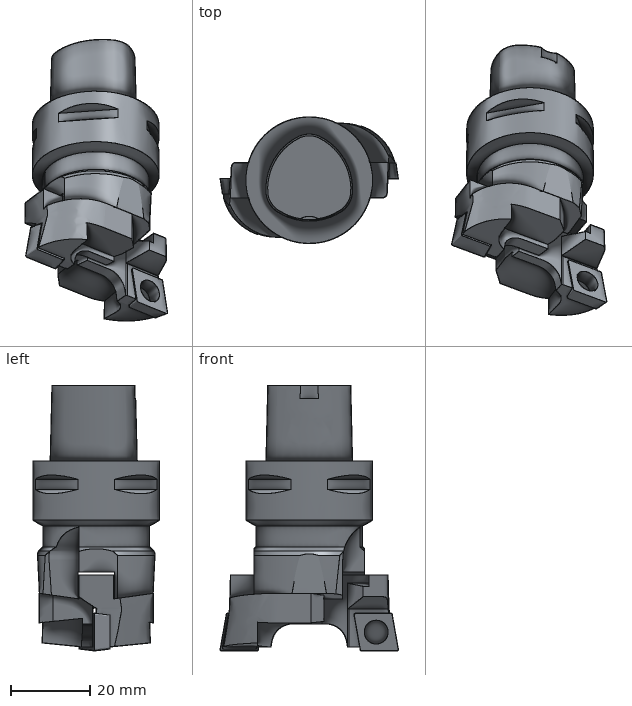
import cadquery as cq
import math


SHANK_LENGTH = 19.0
SHANK_BASE_RADIUS = 11.0
SHANK_TOP_RADIUS = 10.55
LOBE_HEIGHT = 0.65
LOBE_HALF_ANGLE = 22.0
LOBE_DIRECTIONS = (90.0, 210.0, 330.0)
KEYWAY_RADIUS = 4.2
KEYWAY_FLOOR_Y = -9.1
KEYWAY_DEPTH = 3.25

FLANGE_RADIUS = 16.0
FLANGE_HEIGHT = 15.0
FLANGE_BEVEL_ANGLE = 30.0
GRIP_FLOOR_DISTANCE = 14.09
GRIP_TOP_Z = -4.7
GRIP_BOTTOM_Z = -7.2
GRIP_SIDE_ANGLE = 30.0
GRIP_DIRECTIONS = (45.0, 135.0, 225.0, 315.0)

NECK_RADIUS = 13.5
NECK_END_Z = -21.7
SHOULDER_RADIUS = 14.6
BODY_RADIUS = 15.0
BODY_TOP_Z = -23.9
SIDE_FLAT_X = 14.0
BACK_FLAT_TOP = 14.83
BACK_FLAT_BOTTOM = 14.36
RELIEF_FLAT_ANGLE = 50.0
RELIEF_FLAT_TOP = 14.18
RELIEF_FLAT_BOTTOM = 13.76

CHIP_WALL_X = 8.45
CHIP_WALL_Y = 4.33
CHIP_ARC_RADIUS = 10.1
CHIP_ARC_START_Z = -25.0

JOINT_OUTER_Y = 14.4
JOINT_OUTER_Z = -33.45
JOINT_ANGLE = 8.0
SLOT_HALF_WIDTH = 4.58
SLOT_TOP_Z = -28.1

KEY_TOP_Z = -28.8
KEY_HALF_WIDTH = 4.47
KEY_END_X = 19.7
END_ANGLE = 2.5
KEY_CORNER_RADIUS = 1.2
SLIDE_INNER_X = -3.7
SLIDE_INNER_BEND_Y = 6.1
SLIDE_INNER_LEAN = 1.2
SLIDE_BEVEL_X = 3.2
SLIDE_BEVEL_Y = 3.5
FLANK_RADIUS = 13.15
FLANK_TOP_X = 7.3
FLANK_LEAN_ANGLE = 5.0
SLIDE_BOTTOM_Z = -47.0
BOTTOM_SLOPE_ANGLE = 5.7
FLARE_TOP_Z = -37.5
FLARE_TOP_X = 19.85
FLARE_END_X = 21.4
NOTCH_END_X = 15.02
NOTCH_FRONT_Z = -31.7
NOTCH_BACK_Z = -30.9
GULLET_INNER_X = 9.7
GULLET_OUTER_X = 13.6
SEAT_INNER_X = 10.05
SEAT_STEP = 0.15
OVERHANG_FRONT_Z = -34.3
OVERHANG_BACK_Z = -37.4
WING_BOTTOM_Z = -40.9
WING_BOTTOM_ANGLE = 6.0
WEB_THICKNESS = 3.5
LEG_INNER_X = 13.1
LEG_CORNER_RADIUS = 5.0
ARCH_TOP_Z = -41.2
ARCH_SIDE_X = 9.65
ARCH_SIDE_ANGLE = 10.0
ARCH_RADIUS = 5.2
RIGHT_SEAT_Y = 0.8
LEFT_SEAT_Y = 0.0

INSCRIBED_DIAMETER = 9.525
INSERT_THICKNESS = 3.97
INSERT_LEAN = 10.0
INSERT_CLEARANCE = 7.0
INSERT_CORNER_RADIUS = 0.4
INSERT_HOLE_DIAMETER = 6.0
INSERT_BOTTOM_Z = -48.0
INSERT_TIP_X = 22.57
INSERT_STAND_OUT = 0.45

BEYOND = 60.0


def tan(angle):
    return math.tan(math.radians(angle))


def extrude_along_x(points, start, end):
    """Prism of a (y, z) polygon between two x positions."""
    return cq.Workplane("YZ", origin=(start, 0, 0)).polyline(points).close().extrude(end - start)


def extrude_along_y(points, start, end):
    """Prism of an (x, z) polygon between two y positions."""
    return cq.Workplane("XZ", origin=(0, end, 0)).polyline(points).close().extrude(end - start)


def half_turn(shape):
    return shape.rotate((0, 0, 0), (0, 0, 1), 180)


def cut_both_sides(shape, tool):
    return shape.cut(tool).cut(half_turn(tool))


def joint_z(y):
    return JOINT_OUTER_Z - (JOINT_OUTER_Y - y) * tan(JOINT_ANGLE)



def lobed_point(radius, direction):
    """Point of the constant-width polygon whose outward normal has the given direction."""
    normal = math.radians(direction)
    phase = 3 * math.radians(direction - LOBE_DIRECTIONS[0])
    support = radius + LOBE_HEIGHT * math.cos(phase)
    slope = -3 * LOBE_HEIGHT * math.sin(phase)
    x = support * math.cos(normal) - slope * math.sin(normal)
    y = support * math.sin(normal) + slope * math.cos(normal)
    return x, y


def draw_lobed_outline(plane, radius):
    outline = plane.moveTo(*lobed_point(radius, LOBE_DIRECTIONS[0] - LOBE_HALF_ANGLE))
    for direction in LOBE_DIRECTIONS:
        lobe_end = direction + LOBE_HALF_ANGLE
        side_end = direction + 120 - LOBE_HALF_ANGLE
        outline = outline.threePointArc(lobed_point(radius, direction), lobed_point(radius, lobe_end))
        outline = outline.threePointArc(lobed_point(radius, direction + 60), lobed_point(radius, side_end))
    return outline.close()


def make_shank():
    base = draw_lobed_outline(cq.Workplane("XY"), SHANK_BASE_RADIUS)
    shank = draw_lobed_outline(base.workplane(offset=SHANK_LENGTH), SHANK_TOP_RADIUS).loft(ruled=True)
    keyway = (
        cq.Workplane("XY", origin=(0, KEYWAY_FLOOR_Y - KEYWAY_RADIUS, SHANK_LENGTH))
        .circle(KEYWAY_RADIUS)
        .extrude(-KEYWAY_DEPTH)
    )
    return shank.cut(keyway)


def make_turned_body():
    bevel_height = (FLANGE_RADIUS - NECK_RADIUS) * tan(FLANGE_BEVEL_ANGLE)
    shoulder_z = NECK_END_Z - (SHOULDER_RADIUS - NECK_RADIUS)
    lowest_z = joint_z(0)
    profile = [
        (0, 0),
        (FLANGE_RADIUS, 0),
        (FLANGE_RADIUS, -FLANGE_HEIGHT),
        (NECK_RADIUS, -FLANGE_HEIGHT - bevel_height),
        (NECK_RADIUS, NECK_END_Z),
        (SHOULDER_RADIUS, shoulder_z),
        (BODY_RADIUS, BODY_TOP_Z),
        (BODY_RADIUS, lowest_z),
        (0, lowest_z),
    ]
    return cq.Workplane("XZ").polyline(profile).close().revolve(360, (0, 0), (0, 1))


def make_grip_slot(direction):
    depth = BEYOND - GRIP_FLOOR_DISTANCE
    flare = depth * tan(GRIP_SIDE_ANGLE)
    section = [
        (GRIP_FLOOR_DISTANCE, GRIP_TOP_Z),
        (BEYOND, GRIP_TOP_Z + flare),
        (BEYOND, GRIP_BOTTOM_Z - flare),
        (GRIP_FLOOR_DISTANCE, GRIP_BOTTOM_Z),
    ]
    slot = extrude_along_y(section, -BEYOND, BEYOND)
    return slot.rotate((0, 0, 0), (0, 0, 1), direction)


def make_side_flat():
    """Cutter for the upright flat on the +X side of the lower body."""
    section = [
        (SIDE_FLAT_X, NECK_END_Z),
        (BEYOND, NECK_END_Z),
        (BEYOND, -BEYOND),
        (SIDE_FLAT_X, -BEYOND),
    ]
    return extrude_along_y(section, -BEYOND, BEYOND)


def make_leaning_flat(angle, top_distance, bottom_distance):
    """Cutter for a flat that leans in towards the bottom; the angle is from -Y towards +X."""
    lean = (top_distance - bottom_distance) / (BODY_TOP_Z - JOINT_OUTER_Z)
    section = [
        (-top_distance - (NECK_END_Z - BODY_TOP_Z) * lean, NECK_END_Z),
        (-top_distance + BEYOND * lean, BODY_TOP_Z - BEYOND),
        (-BEYOND, BODY_TOP_Z - BEYOND),
        (-BEYOND, NECK_END_Z),
    ]
    flat = extrude_along_x(section, -BEYOND, BEYOND)
    return flat.rotate((0, 0, 0), (0, 0, 1), angle)


def make_chip_pocket():
    """Pocket on the +X, -Y quarter: an upright wall that curves outwards at its upper end."""
    arc_centre_x = CHIP_WALL_X + CHIP_ARC_RADIUS
    arc_middle = (
        arc_centre_x - CHIP_ARC_RADIUS * math.cos(math.radians(45)),
        CHIP_ARC_START_Z + CHIP_ARC_RADIUS * math.sin(math.radians(45)),
    )
    return (
        cq.Workplane("XZ", origin=(0, -CHIP_WALL_Y, 0))
        .moveTo(CHIP_WALL_X, -BEYOND)
        .lineTo(CHIP_WALL_X, CHIP_ARC_START_Z)
        .threePointArc(arc_middle, (arc_centre_x, CHIP_ARC_START_Z + CHIP_ARC_RADIUS))
        .lineTo(arc_centre_x, -BEYOND)
        .close()
        .extrude(BEYOND)
    )


def make_space_below_joint():
    section = [
        (0, joint_z(0)),
        (BEYOND, joint_z(BEYOND)),
        (BEYOND, -BEYOND),
        (0, -BEYOND),
    ]
    return extrude_along_x(section, -BEYOND, BEYOND)


def make_adapter():
    body = make_turned_body()
    for direction in GRIP_DIRECTIONS:
        body = body.cut(make_grip_slot(direction))
    body = cut_both_sides(body, make_side_flat())
    body = cut_both_sides(body, make_leaning_flat(0, BACK_FLAT_TOP, BACK_FLAT_BOTTOM))
    relief_flat = make_leaning_flat(RELIEF_FLAT_ANGLE, RELIEF_FLAT_TOP, RELIEF_FLAT_BOTTOM)
    body = cut_both_sides(body, relief_flat)
    body = cut_both_sides(body, make_chip_pocket())
    body = cut_both_sides(body, make_space_below_joint())
    slot = (
        cq.Workplane("XY", origin=(0, 0, SLOT_TOP_Z))
        .rect(BEYOND, 2 * SLOT_HALF_WIDTH)
        .extrude(-BEYOND)
    )
    return make_shank().union(body.cut(slot))



def make_insert_blank(seat_y):
    """Rhombic insert without its hole, cutting face towards -Y, narrowing behind that face."""
    half_height = INSCRIBED_DIAMETER / 2
    half_side = half_height / math.cos(math.radians(INSERT_LEAN))
    shift = half_height * tan(INSERT_LEAN)
    centre_x = INSERT_TIP_X - half_side - shift
    centre_z = INSERT_BOTTOM_Z + half_height
    face = cq.Plane(
        origin=(centre_x, seat_y - INSERT_STAND_OUT, centre_z),
        xDir=(1, 0, 0),
        normal=(0, 1, 0),
    )
    corners = [
        (shift - half_side, half_height),
        (shift + half_side, half_height),
        (-shift + half_side, -half_height),
        (-shift - half_side, -half_height),
    ]
    blank = (
        cq.Workplane(face)
        .polyline(corners)
        .close()
        .extrude(INSERT_THICKNESS, taper=INSERT_CLEARANCE)
    )
    return blank.edges("not(<Y or >Y)").fillet(INSERT_CORNER_RADIUS)


def make_insert(seat_y):
    blank = make_insert_blank(seat_y)
    return blank.faces("<Y").workplane(centerOption="CenterOfMass").hole(INSERT_HOLE_DIAMETER)



def make_flank():
    """Round outer end of the wing, a cylinder whose axis leans outwards towards the bottom."""
    height = KEY_TOP_Z - SLIDE_BOTTOM_Z
    lean = height * tan(FLANK_LEAN_ANGLE)
    centre_x = FLANK_TOP_X + lean
    centre_y = JOINT_OUTER_Y - FLANK_RADIUS
    diagonal = FLANK_RADIUS * math.cos(math.radians(45))
    outline = (
        cq.Workplane("XY", origin=(0, 0, SLIDE_BOTTOM_Z))
        .moveTo(GULLET_INNER_X / 2, 0)
        .lineTo(GULLET_INNER_X / 2, JOINT_OUTER_Y)
        .lineTo(centre_x, JOINT_OUTER_Y)
        .threePointArc((centre_x + diagonal, centre_y + diagonal), (centre_x + FLANK_RADIUS, centre_y))
        .lineTo(centre_x + FLANK_RADIUS, 0)
        .close()
    )
    face = cq.Face.makeFromWires(outline.val())
    return cq.Workplane(cq.Solid.extrudeLinear(face, cq.Vector(-lean, 0, height)))


def make_wing(web_y):
    """Full-height slab on the +Y side with a round flank and a bevelled inner end."""
    inner_end = [
        (SLIDE_INNER_X + SLIDE_INNER_LEAN, 0),
        (SLIDE_INNER_X, SLIDE_INNER_BEND_Y),
        (SLIDE_INNER_X, JOINT_OUTER_Y - SLIDE_BEVEL_Y),
        (SLIDE_INNER_X + SLIDE_BEVEL_X, JOINT_OUTER_Y),
        (FLANK_TOP_X, JOINT_OUTER_Y),
        (FLANK_TOP_X, 0),
    ]
    slab = (
        cq.Workplane("XY", origin=(0, 0, SLIDE_BOTTOM_Z))
        .polyline(inner_end)
        .close()
        .extrude(KEY_TOP_Z - SLIDE_BOTTOM_Z)
        .union(make_flank())
    )
    in_front_of_web = cq.Workplane("XY").box(2 * BEYOND, 2 * BEYOND, 2 * BEYOND)
    slab = slab.cut(in_front_of_web.translate((0, web_y - BEYOND, 0)))
    above_joint = [
        (KEY_HALF_WIDTH, joint_z(KEY_HALF_WIDTH)),
        (BEYOND, joint_z(BEYOND)),
        (BEYOND, BEYOND),
        (KEY_HALF_WIDTH, BEYOND),
    ]
    return slab.cut(extrude_along_x(above_joint, -BEYOND, BEYOND))


def make_key_block(web_y):
    """Outer part of the key, over the insert and in front of the web; its lower face overhangs."""
    outline = [
        (GULLET_INNER_X, web_y),
        (GULLET_OUTER_X, -KEY_HALF_WIDTH),
        (BEYOND, -KEY_HALF_WIDTH),
        (BEYOND, web_y),
    ]
    section = [
        (web_y, KEY_TOP_Z),
        (-KEY_HALF_WIDTH, KEY_TOP_Z),
        (-KEY_HALF_WIDTH, OVERHANG_FRONT_Z),
        (web_y, OVERHANG_BACK_Z),
    ]
    notch = [
        (web_y, NOTCH_BACK_Z),
        (-KEY_HALF_WIDTH, NOTCH_FRONT_Z),
        (-KEY_HALF_WIDTH, 0),
        (web_y, 0),
    ]
    block = cq.Workplane("XY").polyline(outline).close().extrude(-BEYOND)
    block = block.intersect(extrude_along_x(section, 0, BEYOND))
    return block.cut(extrude_along_x(notch, 0, NOTCH_END_X))


def make_seat_plate(seat_y, web_y):
    """Raised plate on the web below the overhang, into which the insert is let."""
    outline = [
        (GULLET_INNER_X, web_y),
        (SEAT_INNER_X, seat_y),
        (BEYOND, seat_y),
        (BEYOND, web_y),
    ]
    plate = cq.Workplane("XY", origin=(0, 0, SLIDE_BOTTOM_Z)).polyline(outline).close()
    return plate.extrude(OVERHANG_BACK_Z - SLIDE_BOTTOM_Z)


def make_end_envelope():
    """Space inboard of the outer end face: steep beside the key, flaring out beside the insert."""
    section = [
        (-BEYOND, KEY_TOP_Z),
        (KEY_END_X, KEY_TOP_Z),
        (FLARE_TOP_X, FLARE_TOP_Z),
        (FLARE_END_X, SLIDE_BOTTOM_Z),
        (-BEYOND, SLIDE_BOTTOM_Z),
    ]
    envelope = extrude_along_y(section, -BEYOND, BEYOND)
    return envelope.rotate((0, 0, 0), (0, 0, 1), -END_ANGLE)


def make_space_under_wing():
    """Cutter that leaves only the leg at the outer end and the web behind the seat."""
    underside = [
        (0, WING_BOTTOM_Z + JOINT_OUTER_Y * tan(WING_BOTTOM_ANGLE)),
        (BEYOND, WING_BOTTOM_Z + (JOINT_OUTER_Y - BEYOND) * tan(WING_BOTTOM_ANGLE)),
        (BEYOND, -2 * BEYOND),
        (0, -2 * BEYOND),
    ]
    width = LEG_INNER_X + BEYOND
    space = (
        cq.Workplane("XY", origin=(-BEYOND, WEB_THICKNESS, 0))
        .rect(width, BEYOND, centered=False)
        .extrude(-BEYOND)
        .edges("|Z and >X and <Y")
        .fillet(LEG_CORNER_RADIUS)
    )
    return space.intersect(extrude_along_x(underside, -BEYOND, BEYOND))


def make_arch():
    """Cutter for the web's lower edge, round where it runs down to the leaning side."""
    side_top_x = ARCH_SIDE_X - (ARCH_TOP_Z - SLIDE_BOTTOM_Z) * tan(ARCH_SIDE_ANGLE)
    section = [
        (-BEYOND, ARCH_TOP_Z),
        (side_top_x, ARCH_TOP_Z),
        (ARCH_SIDE_X, SLIDE_BOTTOM_Z),
        (-BEYOND, SLIDE_BOTTOM_Z),
    ]
    arch = extrude_along_y(section, -BEYOND, BEYOND)
    corner = cq.selectors.NearestToPointSelector((side_top_x, 0, ARCH_TOP_Z))
    return arch.edges(corner).fillet(ARCH_RADIUS)


def make_bottom_slope():
    """Cutter that lifts the bottom of the leg towards the flank."""
    rise = (BEYOND - WEB_THICKNESS) * tan(BOTTOM_SLOPE_ANGLE)
    section = [
        (WEB_THICKNESS, SLIDE_BOTTOM_Z),
        (BEYOND, SLIDE_BOTTOM_Z + rise),
        (BEYOND, SLIDE_BOTTOM_Z - BEYOND),
        (WEB_THICKNESS, SLIDE_BOTTOM_Z - BEYOND),
    ]
    return extrude_along_x(section, -BEYOND, BEYOND)


def make_slide(seat_y):
    web_y = seat_y + SEAT_STEP
    slide = make_wing(web_y).union(make_key_block(web_y)).union(make_seat_plate(seat_y, web_y))
    slide = slide.intersect(make_end_envelope())
    slide = slide.cut(make_space_under_wing())
    slide = slide.cut(make_arch())
    slide = slide.cut(make_bottom_slope())
    corner_point = (KEY_END_X, -KEY_HALF_WIDTH, (KEY_TOP_Z + OVERHANG_FRONT_Z) / 2)
    slide = slide.edges(cq.selectors.NearestToPointSelector(corner_point)).fillet(KEY_CORNER_RADIUS)
    return slide.cut(make_insert_blank(seat_y))


adapter = make_adapter()
right_slide = make_slide(RIGHT_SEAT_Y)
right_insert = make_insert(RIGHT_SEAT_Y)
left_slide = half_turn(make_slide(LEFT_SEAT_Y))
left_insert = half_turn(make_insert(LEFT_SEAT_Y))

result = cq.Compound.makeCompound(
    [
        adapter.val(),
        right_slide.val(),
        right_insert.val(),
        left_slide.val(),
        left_insert.val(),
    ]
)